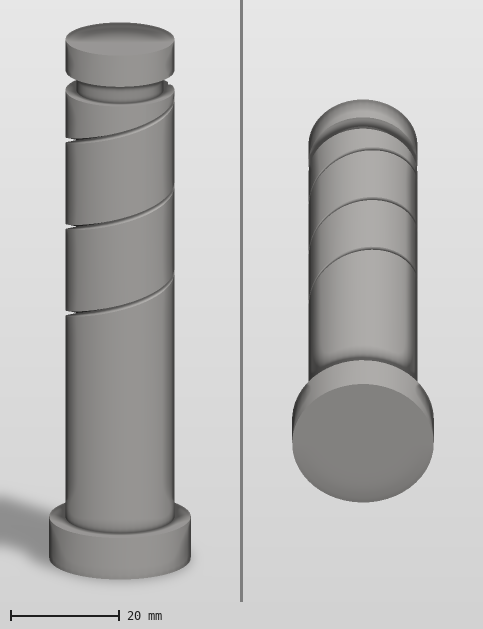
import cadquery as cq

total_height = 100.0
base_diameter = 26.0
base_height = 8.0
shaft_diameter = 20.0

neck_diameter = 16.0
neck_height = 3.8
head_height = 6.0
body_top = total_height - head_height - neck_height

groove_width = 1.0
groove_depth = 2.1
groove_turns = 3
groove_length = 50.0
groove_pitch = groove_length / groove_turns
groove_start = body_top - groove_length
groove_start_angle = 90.0
cut_overlap = 0.4


def cylinder(diameter, bottom, height):
    return cq.Workplane("XY").workplane(offset=bottom).circle(diameter / 2).extrude(height)


def spiral_cutter():
    """Symmetric V section swept along a helix, starting on the +Y side."""
    shaft_radius = shaft_diameter / 2
    path = cq.Wire.makeHelix(groove_pitch, groove_length, shaft_radius)
    outer_radius = shaft_radius + cut_overlap
    outer_half_width = groove_width / 2 * (groove_depth + cut_overlap) / groove_depth
    section = [
        (shaft_radius - groove_depth, 0),
        (outer_radius, outer_half_width),
        (outer_radius, -outer_half_width),
    ]
    cutter = cq.Workplane("XZ").polyline(section).close().sweep(cq.Workplane(path), isFrenet=True)
    return cutter.rotate((0, 0, 0), (0, 0, 1), groove_start_angle).translate((0, 0, groove_start))


base = cylinder(base_diameter, 0, base_height)
body = cylinder(shaft_diameter, base_height, body_top - base_height).cut(spiral_cutter())
neck = cylinder(neck_diameter, body_top, neck_height)
head = cylinder(shaft_diameter, body_top + neck_height, head_height)

result = base.union(body).union(neck).union(head)